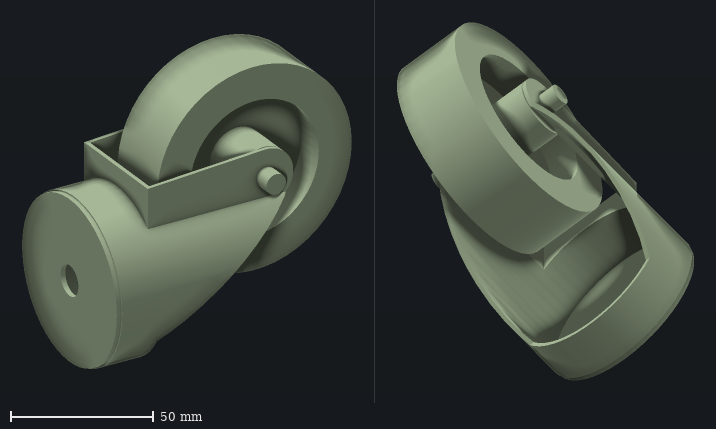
import cadquery as cq
import math

WHEEL_DIAMETER = 80.0
WHEEL_WIDTH = 26.8
RECESS_DIAMETER = 52.9
WEB_THICKNESS = 3.0
HUB_DIAMETER = 22.0
HUB_LENGTH = 39.0
PIN_DIAMETER = 8.0
PIN_LENGTH = 56.0

SHEET = 1.5
FORK_WIDTH = 43.0
FORK_TIP_RADIUS = 11.0
FORK_BACK_TOP = 8.1
CUP_DIAMETER = 65.0
CUP_DROP = 32.1
CUP_DEPTH = 19.1
CAP_DIAMETER = 63.9
CAP_THICKNESS = 1.9
CAP_HOLE_DIAMETER = 12.0
OVERALL_LENGTH = 108.0

CAP_FACE_Y = WHEEL_DIAMETER / 2 - OVERALL_LENGTH
FORK_BACK_Y = CAP_FACE_Y + CUP_DEPTH
FORK_GAP = FORK_WIDTH - 2 * SHEET
SKIRT_EDGE_Z = -49.1


def cylinder_x(diameter, length):
    """Cylinder along the axle, centred on the origin."""
    return cq.Workplane("YZ", origin=(-length / 2, 0, 0)).circle(diameter / 2).extrude(length)


def cylinder_y(diameter, start_y, end_y):
    """Cylinder along the swivel axis between two Y positions."""
    plane = cq.Plane(origin=(0, start_y, -CUP_DROP), xDir=(1, 0, 0), normal=(0, 1, 0))
    return cq.Workplane(plane).circle(diameter / 2).extrude(end_y - start_y)


def tip_tangent(y, z, side):
    """Point where a line from (y, z) touches the round fork tip; side is +1 upper, -1 lower."""
    angle = math.atan2(z, y) - side * math.acos(FORK_TIP_RADIUS / math.hypot(y, z))
    return (FORK_TIP_RADIUS * math.cos(angle), FORK_TIP_RADIUS * math.sin(angle))


def side_profile(width):
    """Side outline of the fork: a round tip with two tangent edges running to the cup."""
    return (
        cq.Workplane("YZ", origin=(-width / 2, 0, 0))
        .moveTo(FORK_BACK_Y, FORK_BACK_TOP)
        .lineTo(*tip_tangent(FORK_BACK_Y, FORK_BACK_TOP, 1))
        .threePointArc((FORK_TIP_RADIUS, 0), tip_tangent(FORK_BACK_Y, SKIRT_EDGE_Z, -1))
        .lineTo(FORK_BACK_Y, SKIRT_EDGE_Z)
        .close()
        .extrude(width)
    )


def make_wheel():
    """Wheel with recessed sides, hub and axle pin."""
    tyre = cylinder_x(WHEEL_DIAMETER, WHEEL_WIDTH).cut(cylinder_x(RECESS_DIAMETER, WHEEL_WIDTH))
    web = cylinder_x(RECESS_DIAMETER, WEB_THICKNESS)
    hub = cylinder_x(HUB_DIAMETER, HUB_LENGTH)
    pin = cylinder_x(PIN_DIAMETER, PIN_LENGTH)
    return tyre.union(web).union(hub).union(pin)


def make_fork():
    """Sheet fork with its flared skirt, and the cup closed by a drilled cap."""
    cap_inner_y = CAP_FACE_Y + CAP_THICKNESS
    arms = side_profile(FORK_WIDTH)
    skirt = side_profile(CUP_DIAMETER).intersect(
        cylinder_y(CUP_DIAMETER, FORK_BACK_Y, FORK_TIP_RADIUS)
    )
    cup = cylinder_y(CUP_DIAMETER, cap_inner_y, FORK_BACK_Y)
    cavity = cylinder_y(CUP_DIAMETER - 2 * SHEET, cap_inner_y, FORK_TIP_RADIUS)

    slot_start_y = FORK_BACK_Y + SHEET
    slot = cq.Workplane("XY").box(
        FORK_GAP, FORK_TIP_RADIUS - slot_start_y, 2 * CUP_DIAMETER, centered=(True, False, True)
    ).translate((0, slot_start_y, 0))

    cap = cylinder_y(CAP_DIAMETER, CAP_FACE_Y, cap_inner_y)
    cap_hole = cylinder_y(CAP_HOLE_DIAMETER, CAP_FACE_Y, cap_inner_y)
    pin_holes = cylinder_x(PIN_DIAMETER, FORK_WIDTH)

    shell = arms.union(skirt).union(cup).cut(cavity).cut(slot)
    return shell.union(cap).cut(cap_hole).cut(pin_holes)


wheel = make_wheel()
fork = make_fork()
result = cq.Compound.makeCompound([wheel.solids().val(), fork.solids().val()])